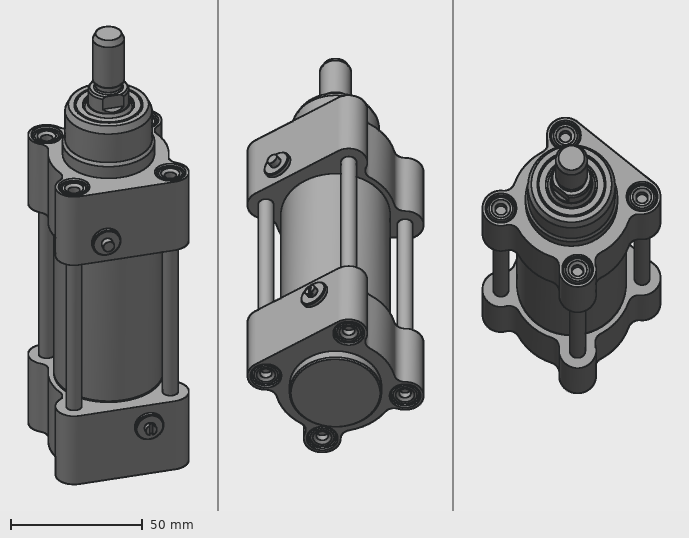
import cadquery as cq
import math

TOTAL_LENGTH = 188.0
REAR_SPIGOT_HEIGHT = 4.1
CAP_HEIGHT = 30.8
BARREL_GAP = 68.0
SEAT_HEIGHT = 0.5
REAR_TOP_Z = REAR_SPIGOT_HEIGHT + CAP_HEIGHT
FRONT_BOTTOM_Z = REAR_TOP_Z + BARREL_GAP
FRONT_TOP_Z = FRONT_BOTTOM_Z + CAP_HEIGHT

TOTAL_WIDTH_X = 56.4
TOTAL_WIDTH_Y = 52.0
TIE_OFFSET = 19.0
CORNER_RADIUS = TOTAL_WIDTH_Y / 2 - TIE_OFFSET
LOBE_RADIUS = 23.0
FILLET_RADIUS = 4.1
FLAT_X = TIE_OFFSET + CORNER_RADIUS

SPIGOT_DIAMETER = 35.0
SPIGOT_CHAMFER = 0.5
NOSE_DIAMETER = 33.0
SHOULDER_HEIGHT = 5.3
SHOULDER_TAPER_HEIGHT = 1.3
NOSE_HEIGHT = 22.2
NOSE_CHAMFER_WIDTH = 1.3
NOSE_CHAMFER_HEIGHT = 2.8
FACE_GROOVE_DIAMETER = 26.0
FACE_GROOVE_WIDTH = 0.5
FACE_GROOVE_DEPTH = 0.5
WIPER_SEAT_DIAMETER = 19.5
WIPER_SEAT_DEPTH = 1.1
WIPER_BASE_DIAMETER = 18.0
WIPER_LIP_DIAMETER = 16.0
WIPER_RISE = 0.8

BARREL_DIAMETER = 41.5

ROD_DIAMETER = 15.5
ROD_SHOULDER_Z = 164.0
ROD_CHAMFER_WIDTH = 0.5
ROD_CHAMFER_HEIGHT = 1.0
FLATS_WIDTH = 13.0
FLATS_BOTTOM_Z = 158.5
THREAD_DIAMETER = 12.0
THREAD_BOTTOM_Z = 166.4
THREAD_RUNOUT = 1.0
THREAD_CHAMFER_WIDTH = 1.1
THREAD_CHAMFER_HEIGHT = 2.5
UNDERCUT_DIAMETER = 10.0
UNDERCUT_FLARE = 0.5

TIE_DIAMETER = 6.0
HEAD_DIAMETER = 10.7
HEAD_HEIGHT = 7.5
HEAD_SINK = 0.5
HEAD_RIM_DIAMETER = 9.0
HEAD_TAPER_HEIGHT = 1.9
POCKET_CHAMFER = 0.5
SOCKET_DIAMETER = 7.1
SOCKET_BOTTOM_DIAMETER = 4.5
SOCKET_CHAMFER_HEIGHT = 1.0
SOCKET_DEPTH = 3.8

SCREW_OFFSET = 8.5
SCREW_INSET = 9.0
COLLAR_DIAMETER = 11.0
COLLAR_HEIGHT = 1.7
COLLAR_CHAMFER = 0.4
STEM_DIAMETER = 4.3
FRONT_STEM_HEIGHT = TOTAL_WIDTH_X - 2 * FLAT_X
REAR_STEM_HEIGHT = 3.8
SLOT_WIDTH = 1.1
SLOT_DEPTH = 1.1


def cylinder(diameter, bottom_z, height):
    return cq.Workplane("XY", origin=(0, 0, bottom_z)).circle(diameter / 2).extrude(height)


def revolve(profile):
    """Turn a closed (radius, z) profile around the Z axis."""
    return cq.Workplane("XZ").polyline(profile).close().revolve(360, (0, 0, 0), (0, 1, 0))


def tie_positions():
    return [(x, y) for x in (-TIE_OFFSET, TIE_OFFSET) for y in (-TIE_OFFSET, TIE_OFFSET)]


def cap_block(bottom_z):
    """Cap with three round lobes, four round corners and a flat +X side."""
    centre_reach = LOBE_RADIUS + FILLET_RADIUS
    corner_reach = math.hypot(TIE_OFFSET, TIE_OFFSET)
    corner_gap = CORNER_RADIUS + FILLET_RADIUS
    cosine = (centre_reach**2 + corner_reach**2 - corner_gap**2) / (2 * centre_reach * corner_reach)
    spread = math.acos(cosine)

    def polar(radius, angle):
        return (radius * math.cos(angle), radius * math.sin(angle))

    def toward(start, end, distance):
        length = math.hypot(end[0] - start[0], end[1] - start[1])
        return tuple(s + (e - s) * distance / length for s, e in zip(start, end))

    def fillet_points(corner_angle, side):
        """Lobe contact, middle and corner contact of the fillet on one side of a corner."""
        centre = polar(centre_reach, corner_angle + side * spread)
        lobe_point = toward(centre, (0, 0), FILLET_RADIUS)
        corner_point = toward(centre, polar(corner_reach, corner_angle), FILLET_RADIUS)
        chord_middle = tuple((a + b) / 2 for a, b in zip(lobe_point, corner_point))
        return lobe_point, toward(centre, chord_middle, FILLET_RADIUS), corner_point

    def corner_middle(corner_angle):
        return polar(corner_reach + CORNER_RADIUS, corner_angle)

    quarter = math.pi / 2
    first = math.pi / 4
    outline = cq.Workplane("XY", origin=(0, 0, bottom_z)).moveTo(FLAT_X, -TIE_OFFSET)
    outline = outline.lineTo(FLAT_X, TIE_OFFSET)
    for index in range(4):
        corner = first + index * quarter
        if index > 0:
            lobe_point, middle, corner_point = fillet_points(corner, -1)
            outline = outline.threePointArc(polar(LOBE_RADIUS, corner - first), lobe_point)
            outline = outline.threePointArc(middle, corner_point)
        if index < 3:
            lobe_point, middle, corner_point = fillet_points(corner, 1)
            outline = outline.threePointArc(corner_middle(corner), corner_point)
            outline = outline.threePointArc(middle, lobe_point)
    outline = outline.threePointArc(corner_middle(-first), (FLAT_X, -TIE_OFFSET))
    return outline.close().extrude(CAP_HEIGHT)


def cushion_screw(y, z, stem_height, slot_depth=0.0):
    """Round collar and stem on the flat side of a cap, with an optional slot along Z in the stem."""
    side = cq.Workplane("YZ", origin=(FLAT_X, y, z))
    collar = side.circle(COLLAR_DIAMETER / 2).extrude(COLLAR_HEIGHT).faces(">X").chamfer(COLLAR_CHAMFER)
    stem = side.circle(STEM_DIAMETER / 2).extrude(stem_height)
    if slot_depth > 0:
        slot_floor = side.workplane(offset=stem_height - slot_depth)
        stem = stem.cut(slot_floor.rect(SLOT_WIDTH, STEM_DIAMETER).extrude(slot_depth))
    return collar.union(stem)


def tie_rod():
    """Tie rod on the Z axis with a tapered, socketed head at each end."""
    bottom = REAR_SPIGOT_HEIGHT + HEAD_SINK
    top = FRONT_TOP_Z - HEAD_SINK
    rod = cylinder(TIE_DIAMETER, bottom, top - bottom)
    for start, inward in ((bottom, 1), (top, -1)):
        head = [
            (0, start),
            (HEAD_RIM_DIAMETER / 2, start),
            (HEAD_DIAMETER / 2, start + inward * HEAD_TAPER_HEIGHT),
            (HEAD_DIAMETER / 2, start + inward * HEAD_HEIGHT),
            (0, start + inward * HEAD_HEIGHT),
        ]
        rod = rod.union(revolve(head))
        socket = [
            (0, start),
            (SOCKET_DIAMETER / 2, start),
            (SOCKET_BOTTOM_DIAMETER / 2, start + inward * SOCKET_CHAMFER_HEIGHT),
            (SOCKET_BOTTOM_DIAMETER / 2, start + inward * SOCKET_DEPTH),
            (0, start + inward * SOCKET_DEPTH),
        ]
        rod = rod.cut(revolve(socket))
    return rod


def cut_tie_holes(cap, bottom_z, outer_z, inward):
    """Through holes for the tie rods, with chamfered head pockets on the outer face."""
    pocket_depth = inward * (HEAD_SINK + HEAD_HEIGHT)
    pocket = [
        (0, outer_z),
        (HEAD_DIAMETER / 2 + POCKET_CHAMFER, outer_z),
        (HEAD_DIAMETER / 2, outer_z + inward * POCKET_CHAMFER),
        (HEAD_DIAMETER / 2, outer_z + pocket_depth),
        (0, outer_z + pocket_depth),
    ]
    hole = cylinder(TIE_DIAMETER, bottom_z, CAP_HEIGHT).union(revolve(pocket))
    for x, y in tie_positions():
        cap = cap.cut(hole.translate((x, y, 0)))
    return cap


def rear_cap():
    spigot = cylinder(SPIGOT_DIAMETER, 0, REAR_SPIGOT_HEIGHT).faces("<Z").chamfer(SPIGOT_CHAMFER)
    cap = cap_block(REAR_SPIGOT_HEIGHT).union(spigot)
    cap = cap.union(cylinder(BARREL_DIAMETER, REAR_TOP_Z, SEAT_HEIGHT))
    cap = cut_tie_holes(cap, REAR_SPIGOT_HEIGHT, REAR_SPIGOT_HEIGHT, 1)
    return cap.union(cushion_screw(SCREW_OFFSET, REAR_TOP_Z - SCREW_INSET, REAR_STEM_HEIGHT, SLOT_DEPTH))


def nose():
    """Stepped nose around the piston rod, with a grooved face and a steep conical wiper lip."""
    shoulder_z = FRONT_TOP_Z + SHOULDER_HEIGHT
    top_z = FRONT_TOP_Z + NOSE_HEIGHT
    groove_radius = FACE_GROOVE_DIAMETER / 2
    groove_z = top_z - FACE_GROOVE_DEPTH
    seat_z = top_z - WIPER_SEAT_DEPTH
    return revolve([
        (0, FRONT_TOP_Z),
        (SPIGOT_DIAMETER / 2, FRONT_TOP_Z),
        (SPIGOT_DIAMETER / 2, shoulder_z),
        (NOSE_DIAMETER / 2, shoulder_z + SHOULDER_TAPER_HEIGHT),
        (NOSE_DIAMETER / 2, top_z - NOSE_CHAMFER_HEIGHT),
        (NOSE_DIAMETER / 2 - NOSE_CHAMFER_WIDTH, top_z),
        (groove_radius, top_z),
        (groove_radius, groove_z),
        (groove_radius - FACE_GROOVE_WIDTH, groove_z),
        (groove_radius - FACE_GROOVE_WIDTH, top_z),
        (WIPER_SEAT_DIAMETER / 2, top_z),
        (WIPER_SEAT_DIAMETER / 2, seat_z),
        (WIPER_BASE_DIAMETER / 2, seat_z),
        (WIPER_LIP_DIAMETER / 2, top_z + WIPER_RISE),
        (0, top_z + WIPER_RISE),
    ])


def front_cap():
    cap = cap_block(FRONT_BOTTOM_Z).union(nose())
    cap = cut_tie_holes(cap, FRONT_BOTTOM_Z, FRONT_TOP_Z, -1)
    cap = cap.cut(cylinder(ROD_DIAMETER, FRONT_BOTTOM_Z, TOTAL_LENGTH))
    screw = cushion_screw(-SCREW_OFFSET, FRONT_BOTTOM_Z + SCREW_INSET, FRONT_STEM_HEIGHT)
    return cap.union(screw)


def barrel():
    return cylinder(BARREL_DIAMETER, REAR_TOP_Z + SEAT_HEIGHT, BARREL_GAP - SEAT_HEIGHT)


def piston_rod():
    """Rod with wrench flats, an undercut and a plain threaded end."""
    thread_radius = THREAD_DIAMETER / 2
    rod = revolve([
        (0, FRONT_BOTTOM_Z),
        (ROD_DIAMETER / 2, FRONT_BOTTOM_Z),
        (ROD_DIAMETER / 2, ROD_SHOULDER_Z - ROD_CHAMFER_HEIGHT),
        (ROD_DIAMETER / 2 - ROD_CHAMFER_WIDTH, ROD_SHOULDER_Z),
        (UNDERCUT_DIAMETER / 2 + UNDERCUT_FLARE, ROD_SHOULDER_Z),
        (UNDERCUT_DIAMETER / 2, ROD_SHOULDER_Z + UNDERCUT_FLARE),
        (UNDERCUT_DIAMETER / 2, THREAD_BOTTOM_Z),
        (thread_radius, THREAD_BOTTOM_Z + THREAD_RUNOUT),
        (thread_radius, TOTAL_LENGTH - THREAD_CHAMFER_HEIGHT),
        (thread_radius - THREAD_CHAMFER_WIDTH, TOTAL_LENGTH),
        (0, TOTAL_LENGTH),
    ])
    flat_x = FLATS_WIDTH / 2
    for side in (-1, 1):
        flat = (
            cq.Workplane("XZ")
            .moveTo(side * flat_x, FLATS_BOTTOM_Z)
            .lineTo(side * flat_x, ROD_SHOULDER_Z)
            .lineTo(side * ROD_DIAMETER, ROD_SHOULDER_Z)
            .lineTo(side * ROD_DIAMETER, FLATS_BOTTOM_Z - (ROD_DIAMETER - flat_x))
            .close()
            .extrude(ROD_DIAMETER, both=True)
        )
        rod = rod.cut(flat)
    return rod


tie_rods = [tie_rod().translate((x, y, 0)) for x, y in tie_positions()]

result = cq.Compound.makeCompound([
    rear_cap().val(),
    front_cap().val(),
    barrel().val(),
    piston_rod().val(),
    *[rod.val() for rod in tie_rods],
])